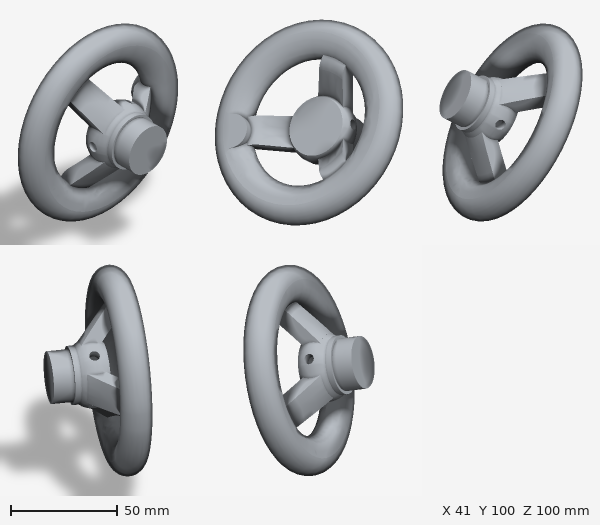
import cadquery as cq
import math

rim_outer_radius = 50.0
rim_width = 15.0
rim_half_width = rim_width / 2
rim_crest_radius = rim_outer_radius - rim_half_width
rim_inner_radius = 31.0

hub_face_x = 14.0
hub_face_radius = 14.4
hub_bulge_x = 20.7
hub_bulge_radius = 16.5
collar_start_x = 28.0
collar_end_x = 31.0
collar_radius = 14.0
shank_radius = 12.5
overall_length = 41.0

spoke_count = 3
spoke_pitch = 360 / spoke_count
spoke_root_radius = 10.0
spoke_end_radius = 36.0
spoke_root_half_width = 8.0
spoke_end_half_width = 6.8
back_inner_x, back_inner_radius = 25.5, 15.5
back_outer_x, back_outer_radius = 15.0, 27.4
front_inner_x, front_inner_radius = 16.2, 15.4
front_bend_x = 4.0
front_bend_radius = 28.4
front_bend_fillet = 9.0

hole_radius = 2.5
hole_cylinder_depth = 5.0
hole_tip_depth = 1.5
hole_overshoot = 1.0

seat_radius = 8.3
seat_center_y = 37.7
seat_flare_end_z = 10.6
seat_flare_mid_y, seat_flare_mid_z = 39.4, 9.0
seat_depth = rim_half_width

X_AXIS = ((0, 0, 0), (1, 0, 0))


def turn(profile):
    """Revolve an (x, radius) profile about the X axis."""
    return profile.close().revolve(360, *X_AXIS)


def inner_rim_point(fraction):
    """Point on the half ellipse that bounds the inside of the rim."""
    angle = math.pi * fraction
    x = rim_half_width * (1 - math.cos(angle))
    radius = rim_crest_radius - (rim_crest_radius - rim_inner_radius) * math.sin(angle)
    return (x, radius, 0)


def make_rim():
    outside = turn(
        cq.Workplane("XY")
        .moveTo(0, rim_crest_radius)
        .threePointArc((rim_half_width, rim_outer_radius), (rim_width, rim_crest_radius))
    )
    inside = turn(
        cq.Workplane("XY")
        .moveTo(0, rim_crest_radius)
        .parametricCurve(inner_rim_point, start=0, stop=1, makeWire=False)
    )
    return outside.union(inside)


def make_hub():
    return turn(
        cq.Workplane("XY")
        .moveTo(hub_face_x, 0)
        .lineTo(hub_face_x, hub_face_radius)
        .threePointArc((hub_bulge_x, hub_bulge_radius), (collar_start_x, collar_radius))
        .lineTo(collar_end_x, collar_radius)
        .lineTo(collar_end_x, shank_radius)
        .lineTo(overall_length, shank_radius)
        .lineTo(overall_length, 0)
    )


def make_spoke():
    """Spoke along +Y: a turned conical plate trimmed to a tapering width."""
    front_slope = (front_inner_x - front_bend_x) / (front_bend_radius - front_inner_radius)
    back_slope = (back_inner_x - back_outer_x) / (back_outer_radius - back_inner_radius)
    front_root_x = front_inner_x + front_slope * (front_inner_radius - spoke_root_radius)
    back_end_x = back_outer_x - back_slope * (spoke_end_radius - back_outer_radius)

    cone_angle = math.atan(front_slope)
    tangent_length = front_bend_fillet * math.tan(cone_angle / 2)
    bend_start = (
        front_bend_x + tangent_length * math.sin(cone_angle),
        front_bend_radius - tangent_length * math.cos(cone_angle),
    )
    bend_end = (front_bend_x, front_bend_radius + tangent_length)

    plate = turn(
        cq.Workplane("XY")
        .moveTo(front_root_x, spoke_root_radius)
        .lineTo(*bend_start)
        .tangentArcPoint(bend_end, relative=False)
        .lineTo(front_bend_x, spoke_end_radius)
        .lineTo(back_end_x, spoke_end_radius)
        .lineTo(back_inner_x, back_inner_radius)
        .lineTo(back_inner_x, spoke_root_radius)
    )
    wedge = (
        cq.Workplane("YZ")
        .moveTo(spoke_root_radius, -spoke_root_half_width)
        .lineTo(spoke_end_radius, -spoke_end_half_width)
        .lineTo(spoke_end_radius, spoke_end_half_width)
        .lineTo(spoke_root_radius, spoke_root_half_width)
        .close()
        .extrude(overall_length)
    )
    return plate.intersect(wedge)


def make_seat():
    """Flat-faced pad with a round nose and flared ends along the rim crest."""
    flare_end_y = math.sqrt(rim_crest_radius**2 - seat_flare_end_z**2)
    return (
        cq.Workplane("YZ")
        .moveTo(flare_end_y, -seat_flare_end_z)
        .threePointArc((rim_crest_radius, 0), (flare_end_y, seat_flare_end_z))
        .threePointArc((seat_flare_mid_y, seat_flare_mid_z), (seat_center_y, seat_radius))
        .threePointArc((seat_center_y - seat_radius, 0), (seat_center_y, -seat_radius))
        .threePointArc((seat_flare_mid_y, -seat_flare_mid_z), (flare_end_y, -seat_flare_end_z))
        .close()
        .extrude(seat_depth)
    )


def make_hole():
    """Drilled hole with a conical bottom, entering the hub from -Y."""
    wall_end = hub_bulge_radius - hole_cylinder_depth
    return (
        cq.Workplane("XY")
        .moveTo(hub_bulge_x, -hub_bulge_radius - hole_overshoot)
        .lineTo(hub_bulge_x + hole_radius, -hub_bulge_radius - hole_overshoot)
        .lineTo(hub_bulge_x + hole_radius, -wall_end)
        .lineTo(hub_bulge_x, -wall_end + hole_tip_depth)
        .close()
        .revolve(360, (hub_bulge_x, 0, 0), (hub_bulge_x, 1, 0))
    )


result = make_rim().union(make_hub()).union(make_seat())
spoke = make_spoke()
hole = make_hole()
for index in range(spoke_count):
    angle = index * spoke_pitch
    result = result.union(spoke.rotate(*X_AXIS, angle))
for index in range(spoke_count):
    angle = index * spoke_pitch
    result = result.cut(hole.rotate(*X_AXIS, angle))